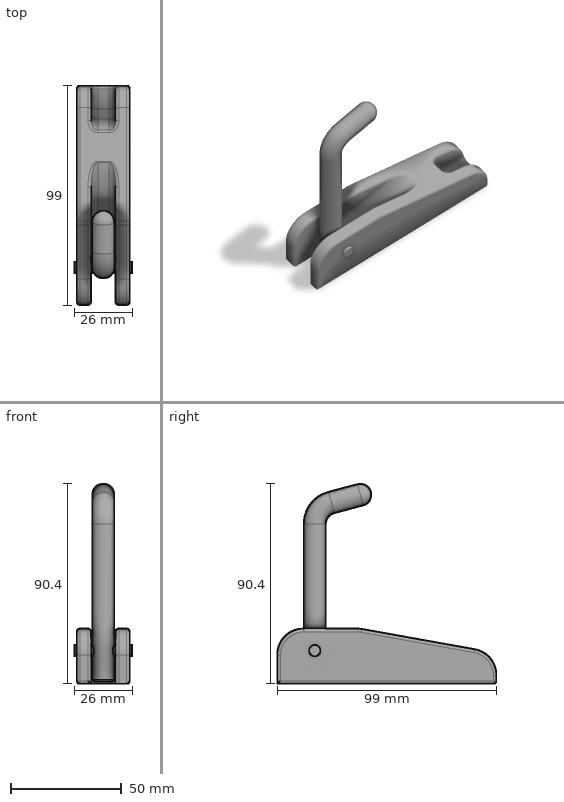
import cadquery as cq
import math

length = 99.0
width = 24.0
front_height = 25.0
rear_height = 14.0
crest_y = 37.2
end_radius = 12.0
crest_radius = 10.0
edge_radius = 1.5

channel_width = 11.0
channel_corner = 3.0
overshoot = 4.95

ramp_slope = 12.5
ramp_start = 64.6
ramp_end = 25.9
ramp_lip_radius = 1.5
ledge_height = 7.5

rear_floor = 4.0
rear_wall_slope = 64.0
rear_wall_foot = 85.3
rear_foot_radius = 5.0

rod_diameter = 10.0
pivot_y = 17.0
pivot_z = 15.0
pin_radius = 2.6
pin_length = 26.0
rod_bottom = 1.0
rod_bottom_chamfer = 1.0
bend_start = 72.2
bend_radius = 10.0
bend_angle = 75.0
arm_length = 13.6

tolerance = 0.01

rod_radius = rod_diameter / 2
opening_end = pivot_y + rod_radius


def slope_height(y):
    """Height of the sloped top at a given y."""
    return front_height - (front_height - rear_height) * (y - crest_y) / (length - crest_y)


def side_profile(points, thickness):
    """Extrude an outline of (y, z) points to a thickness centred on x = 0."""
    return cq.Workplane("YZ").polyline(points).close().extrude(thickness / 2, both=True)


def edge_at(y, z):
    """Selector for the crosswise edge that passes through (0, y, z)."""
    return cq.selectors.NearestToPointSelector((0, y, z))


def crosswise_cylinder(radius, cylinder_length):
    """Cylinder along x, centred on the lever's pivot."""
    circle = cq.Workplane("YZ").center(pivot_y, pivot_z).circle(radius)
    return circle.extrude(cylinder_length / 2, both=True)


def make_block():
    outline = [(0, 0), (length, 0), (length, rear_height), (crest_y, front_height), (0, front_height)]
    block = side_profile(outline, width)
    block = block.edges(edge_at(0, front_height)).fillet(end_radius)
    block = block.edges(edge_at(length, rear_height)).fillet(end_radius)
    return block.edges(edge_at(crest_y, front_height)).fillet(crest_radius)


def make_front_channel():
    ramp_tan = math.tan(math.radians(ramp_slope))
    start_z = slope_height(ramp_start)
    lip_z = start_z - (ramp_start - ramp_end) * ramp_tan
    far_y = ramp_start + overshoot
    tool_top = front_height + overshoot
    outline = [
        (-overshoot, ledge_height),
        (ramp_end, ledge_height),
        (ramp_end, lip_z),
        (far_y, start_z + overshoot * ramp_tan),
        (far_y, tool_top),
        (-overshoot, tool_top),
    ]
    channel = side_profile(outline, channel_width)
    channel = channel.edges(edge_at(ramp_end, lip_z)).fillet(ramp_lip_radius)
    ramp_middle = (0, (ramp_start + ramp_end) / 2, (start_z + lip_z) / 2)
    ramp = channel.faces(cq.selectors.NearestToPointSelector(ramp_middle))
    return ramp.edges("not |X").fillet(channel_corner)


def make_front_opening():
    return cq.Workplane("XY").box(
        channel_width, opening_end, ledge_height, centered=(True, False, False)
    )


def make_rear_channel():
    tool_top = front_height + overshoot
    wall_run = (tool_top - rear_floor) / math.tan(math.radians(rear_wall_slope))
    outline = [
        (length + overshoot, rear_floor),
        (rear_wall_foot, rear_floor),
        (rear_wall_foot - wall_run, tool_top),
        (length + overshoot, tool_top),
    ]
    tool = side_profile(outline, channel_width)
    tool = tool.edges(edge_at(rear_wall_foot, rear_floor)).fillet(rear_foot_radius)
    floor = tool.faces("<Z")
    return floor.edges("not |X").fillet(channel_corner)


def make_base():
    block = make_block()
    skin = block.val().Shells()[0]
    base = block.cut(make_front_channel()).cut(make_front_opening()).cut(make_rear_channel())

    def is_rounded(edge):
        middle = edge.positionAt(0.5)
        on_side = abs(middle.x) > width / 2 - tolerance
        on_bottom = middle.z < tolerance
        in_channel = abs(middle.x) < channel_width / 2 + tolerance
        on_skin = skin.distance(cq.Vertex.makeVertex(*middle.toTuple())) < tolerance
        channel_rim = in_channel and on_skin and not on_bottom
        rear_foot = on_bottom and middle.y > length - tolerance
        left_front_foot = on_bottom and middle.y < tolerance and middle.x < 0
        return on_side or channel_rim or rear_foot or left_front_foot

    rounded_edges = [edge for edge in base.edges().vals() if is_rounded(edge)]
    base = base.newObject(rounded_edges).fillet(edge_radius)
    pin_hole = crosswise_cylinder(pin_radius, width)
    return base.cut(pin_hole)


def make_lever():
    def bend_point(angle):
        """Point (y, z) on the bend's centreline after turning by the angle."""
        y = pivot_y + bend_radius * (1 - math.cos(angle))
        z = bend_start + bend_radius * math.sin(angle)
        return y, z

    angle = math.radians(bend_angle)
    bend_end_y, bend_end_z = bend_point(angle)
    tip_y = bend_end_y + arm_length * math.sin(angle)
    tip_z = bend_end_z + arm_length * math.cos(angle)
    path = (
        cq.Workplane("YZ")
        .moveTo(pivot_y, rod_bottom)
        .lineTo(pivot_y, bend_start)
        .threePointArc(bend_point(angle / 2), (bend_end_y, bend_end_z))
        .lineTo(tip_y, tip_z)
    )
    rod = cq.Workplane("XY", origin=(0, pivot_y, rod_bottom)).circle(rod_radius).sweep(path)
    rod = rod.faces("<Z").edges().chamfer(rod_bottom_chamfer)
    round_tip = cq.Workplane("XY", origin=(0, tip_y, tip_z)).sphere(rod_radius)
    cross_pin = crosswise_cylinder(pin_radius, pin_length)
    return rod.union(round_tip).union(cross_pin)


base = make_base()
lever = make_lever()

result = cq.Compound.makeCompound([base.val(), lever.val()])